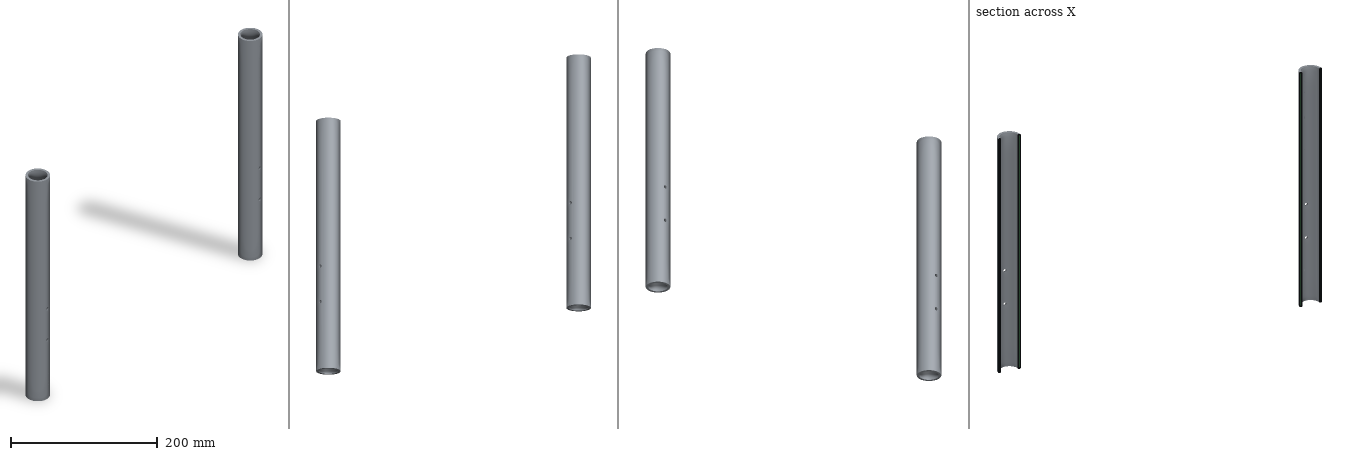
import cadquery as cq

tube_length = 355.5
outer_diameter = 33.5
bore_diameter = 26.5

overall_width = 492.5
tube_spacing = overall_width - outer_diameter

cross_hole_diameter = 4.85
lower_hole_height = 95.0
cross_hole_pitch = 50.5
cross_hole_heights = [lower_hole_height, lower_hole_height + cross_hole_pitch]


def cross_hole(height):
    """Cylinder along X that passes through the whole tube at the given height."""
    return (
        cq.Workplane("YZ")
        .center(0, height)
        .circle(cross_hole_diameter / 2)
        .extrude(outer_diameter, both=True)
    )


def tube(y_position):
    """Upright open tube with its cross holes, standing on Z = 0."""
    body = (
        cq.Workplane("XY")
        .circle(outer_diameter / 2)
        .circle(bore_diameter / 2)
        .extrude(tube_length)
    )
    for height in cross_hole_heights:
        body = body.cut(cross_hole(height))
    return body.translate((0, y_position, 0))


tubes = [tube(side * tube_spacing / 2) for side in (-1, 1)]

result = cq.Compound.makeCompound([body.val() for body in tubes])